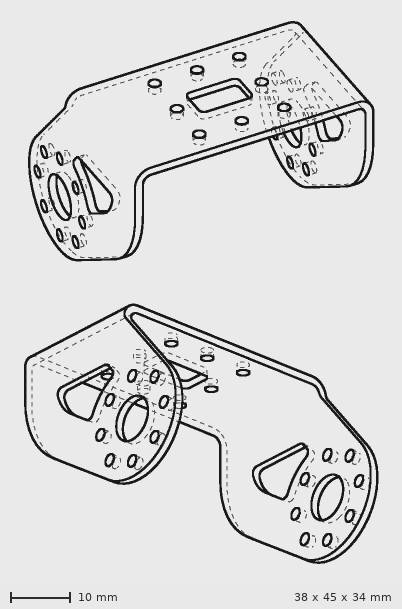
import cadquery as cq
import math

bracket_width = 45.0
thickness = 1.5
bend_outer_radius = 3.0
bend_inner_radius = bend_outer_radius - thickness
top_z = 23.0
bend_end_z = top_z - bend_outer_radius

lobe_radius = 11.0
web_front_x = 2.0
web_back_x = 27.0
lower_corner_z = 5.0
neck_fillet = 2.0
heel_radius = 16.0

bore_diameter = 8.0
small_hole_diameter = 2.1
lobe_hole_circle_radius = 8.0
lobe_hole_count = 8
web_hole_pitch = 8.0

window_length_x = 6.0
window_length_y = 9.9
window_fillet = 1.0
web_centre_x = (web_front_x + web_back_x) / 2

rim_width = 8.0
arm_window_top_z = 12.72
arm_window_fillet = 1.0
arm_window_back_x = web_back_x - rim_width
arm_window_heel_radius = heel_radius - rim_width

neck_corner = (web_front_x, bend_end_z)
heel_corner = (web_back_x, lower_corner_z)


def touch_angle(corner, side):
    """Direction from the lobe axis to where a line from the corner touches the lobe circle."""
    distance = math.hypot(*corner)
    return math.atan2(corner[1], corner[0]) + side * math.acos(lobe_radius / distance)


neck_angle = touch_angle(neck_corner, 1)
heel_angle = touch_angle(heel_corner, -1)


def polar(radius, angle):
    return (radius * math.cos(angle), radius * math.sin(angle))


def through_arms(sketch):
    """Extrude an XZ sketch symmetrically about Y = 0, across the full bracket width."""
    return sketch.extrude(bracket_width / 2, both=True)


def fillet_at(solid, corner, radius):
    """Round the Y-parallel edge that passes through the (x, z) corner."""
    edge = cq.selectors.NearestToPointSelector((corner[0], 0, corner[1]))
    return solid.edges("|Y").edges(edge).fillet(radius)


def rounded_bar(inset, corner_radius):
    """Solid bar along X, inset from the bracket's top and sides, with rounded top edges."""
    length = web_back_x + lobe_radius
    width = bracket_width - 2 * inset
    height = top_z + lobe_radius
    bar = cq.Workplane("XY").box(length, width, height, centered=(False, True, False))
    bar = bar.edges("|X and >Z").fillet(corner_radius)
    return bar.translate((-lobe_radius, 0, -lobe_radius - inset))


def channel():
    """Bent U-shaped sheet, long enough in X for the whole arm."""
    return rounded_bar(0, bend_outer_radius).cut(rounded_bar(thickness, bend_inner_radius))


def arm_outline():
    """Side silhouette of the bracket, extruded across its full width."""
    far_lobe_angle = (neck_angle + heel_angle) / 2 + math.pi
    sketch = (
        cq.Workplane("XZ")
        .moveTo(*polar(lobe_radius, neck_angle))
        .lineTo(*neck_corner)
        .lineTo(web_front_x, top_z)
        .lineTo(web_back_x, top_z)
        .lineTo(*heel_corner)
        .lineTo(*polar(lobe_radius, heel_angle))
        .threePointArc(polar(lobe_radius, far_lobe_angle), polar(lobe_radius, neck_angle))
        .close()
    )
    body = through_arms(sketch)
    body = fillet_at(body, neck_corner, neck_fillet)
    return fillet_at(body, heel_corner, heel_radius)


def point_on_offset_line(angle, x=None, z=None):
    """Point at the given x or z on an arm edge moved inward by the rim width."""
    reach = lobe_radius - rim_width
    if z is None:
        return (x, (reach - x * math.cos(angle)) / math.sin(angle))
    return ((reach - z * math.sin(angle)) / math.cos(angle), z)


def arm_window():
    """Cutter for the rounded window between the lobe and the web."""
    rim_turn = math.acos((lobe_radius - rim_width) / lobe_radius)
    heel = point_on_offset_line(heel_angle, x=arm_window_back_x)
    sketch = (
        cq.Workplane("XZ")
        .polyline([
            (0, 0),
            point_on_offset_line(heel_angle, z=0),
            heel,
            (arm_window_back_x, top_z),
            point_on_offset_line(neck_angle, z=top_z),
            point_on_offset_line(neck_angle, x=0),
        ])
        .close()
    )
    blank = fillet_at(through_arms(sketch), heel, arm_window_heel_radius)
    lobe = through_arms(cq.Workplane("XZ").circle(lobe_radius))
    below_top = through_arms(cq.Workplane("XZ").rect(2 * web_back_x, 2 * arm_window_top_z))
    cutter = blank.cut(lobe).intersect(below_top)
    sharp_corners = [
        (arm_window_back_x, arm_window_top_z),
        point_on_offset_line(neck_angle, z=arm_window_top_z),
        polar(lobe_radius, neck_angle - rim_turn),
        polar(lobe_radius, heel_angle + rim_turn),
    ]
    for corner in sharp_corners:
        cutter = fillet_at(cutter, corner, arm_window_fillet)
    return cutter


def lobe_holes():
    """Cutter for the bore and the ring of small holes around it."""
    bore = cq.Workplane("XZ").circle(bore_diameter / 2)
    ring = (
        cq.Workplane("XZ")
        .polarArray(lobe_hole_circle_radius, 0, 360, lobe_hole_count)
        .circle(small_hole_diameter / 2)
    )
    return through_arms(bore).union(through_arms(ring))


def web_openings():
    """Cutter for the web window and the eight holes around it."""
    base = cq.Workplane("XY", origin=(web_centre_x, 0, bend_end_z))
    window = base.rect(window_length_x, window_length_y).extrude(bend_outer_radius)
    window = window.edges("|Z").fillet(window_fillet)
    steps = (-1, 0, 1)
    spots = [
        (i * web_hole_pitch, j * web_hole_pitch)
        for i in steps
        for j in steps
        if (i, j) != (0, 0)
    ]
    holes = base.pushPoints(spots).circle(small_hole_diameter / 2).extrude(bend_outer_radius)
    return window.union(holes)


result = (
    channel()
    .intersect(arm_outline())
    .cut(lobe_holes())
    .cut(arm_window())
    .cut(web_openings())
)